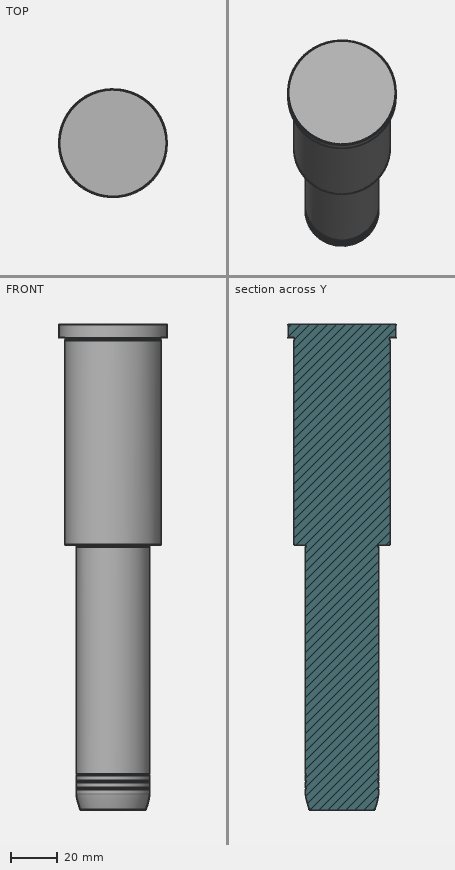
import cadquery as cq

total_length = 211.0
head_radius = 47.0 / 2
head_height = 6.0
head_chamfer = 0.5
body_radius = 42.0 / 2
body_bottom = 115.0
body_chamfer = 0.5
shank_radius = 32.0 / 2

relief_width = 1.3
relief_depth = 0.5

shank_relief_width = 0.8
shank_relief_depth = 0.5

nose_height = 7.2
nose_tip_radius = 14.3
nose_middle_radius = 15.5
tip_chamfer = 0.5

ring_count = 3
lowest_ring_center = 9.5
ring_pitch = 3.0
ring_width = 1.0
ring_depth = 0.5


def cylinder(radius, bottom, top):
    return cq.Workplane("XY").workplane(offset=bottom).circle(radius).extrude(top - bottom)


def v_groove(outer_radius, depth, center, width):
    """V-section ring to cut from a cylinder of the given radius."""
    profile = cq.Workplane("XZ").polyline([
        (outer_radius, center - width / 2),
        (outer_radius - depth, center),
        (outer_radius, center + width / 2),
    ])
    return profile.close().revolve(360, (0, 0, 0), (0, 1, 0))


def shank_with_nose():
    profile = (
        cq.Workplane("XZ")
        .lineTo(nose_tip_radius - tip_chamfer, 0)
        .lineTo(nose_tip_radius, tip_chamfer)
        .threePointArc((nose_middle_radius, nose_height / 2), (shank_radius, nose_height))
        .lineTo(shank_radius, body_bottom)
        .lineTo(0, body_bottom)
        .close()
    )
    return profile.revolve(360, (0, 0, 0), (0, 1, 0))


head_bottom = total_length - head_height
head = cylinder(head_radius, head_bottom, total_length).faces(">Z").edges().chamfer(head_chamfer)

body = cylinder(body_radius, body_bottom, head_bottom).faces("<Z").edges().chamfer(body_chamfer)
body = body.cut(v_groove(body_radius, relief_depth, head_bottom - relief_width / 2, relief_width))

shank_relief_center = body_bottom - shank_relief_width / 2
shank = shank_with_nose()
shank = shank.cut(
    v_groove(shank_radius, shank_relief_depth, shank_relief_center, shank_relief_width)
)
for index in range(ring_count):
    ring_center = lowest_ring_center + index * ring_pitch
    shank = shank.cut(v_groove(shank_radius, ring_depth, ring_center, ring_width))

result = head.union(body).union(shank)